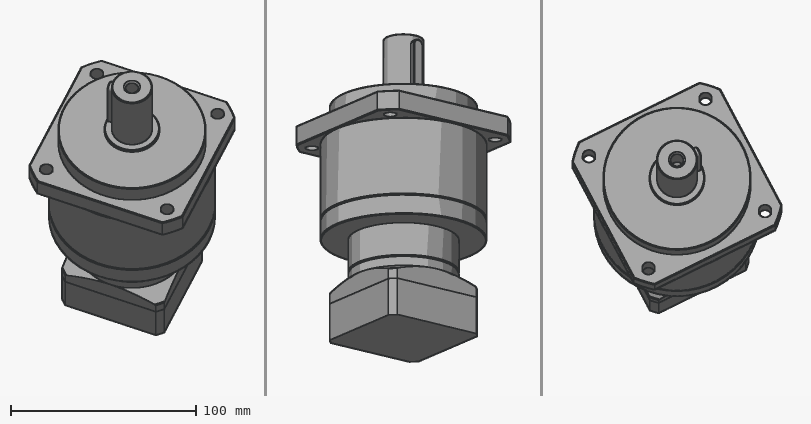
import cadquery as cq
import math


adapter_top = 20.8
cone_top = 31.5
collar_top = 37.0
hub_top = 55.8
rear_ring_top = 67.0
ring_gear_top = 110.9
flange_top = 122.0
pilot_top = 132.0
seal_top = 133.4
shaft_top = 170.1

edge_chamfer = 0.5

adapter_side = 60.0
adapter_corner_diameter = 80.1
hub_diameter = adapter_side
cone_drop = 4.6

flange_side = 90.0
housing_diameter = flange_side
flange_corner_diameter = 116.0
bolt_circle_diameter = 100.0
bolt_hole_diameter = 7.0
pilot_diameter = 80.0
seal_diameter = 30.0

shaft_diameter = 22.0
centre_hole_diameter = 6.8
centre_hole_depth = 17.0
centre_hole_mouth = 8.8
drill_point_angle = 118.0

key_width = 6.0
key_length = 32.0
key_top = shaft_top - 3.0
key_outer_x = -13.5


def disc(diameter, bottom, top):
    return cq.Workplane("XY").workplane(offset=bottom).circle(diameter / 2).extrude(top - bottom)


def rounded_square(side, corner_diameter, bottom, top):
    """Square plate whose corners are turned down to a circle about the axis."""
    plate = cq.Workplane("XY").workplane(offset=bottom).rect(side, side).extrude(top - bottom)
    return plate.intersect(disc(corner_diameter, bottom, top))


def make_adapter():
    return rounded_square(adapter_side, adapter_corner_diameter, 0, adapter_top)


def make_hub_base():
    """Square base under the hub, its top turned to a shallow cone with chamfered corners."""
    base = rounded_square(adapter_side, adapter_corner_diameter, adapter_top, cone_top)
    corner_radius = adapter_corner_diameter / 2
    cone_bottom = cone_top - cone_drop
    envelope = (
        cq.Workplane("XZ")
        .moveTo(0, adapter_top)
        .lineTo(corner_radius, adapter_top)
        .lineTo(corner_radius, cone_bottom - edge_chamfer)
        .lineTo(corner_radius - edge_chamfer, cone_bottom)
        .lineTo(hub_diameter / 2, cone_top)
        .lineTo(0, cone_top)
        .close()
        .revolve(360, (0, 0), (0, 1))
    )
    return base.intersect(envelope)


def make_flange():
    flange = rounded_square(flange_side, flange_corner_diameter, ring_gear_top, flange_top)
    flange = flange.faces("<Z or >Z").edges().chamfer(edge_chamfer)
    bolt_spacing = bolt_circle_diameter / math.sqrt(2)
    bolt_holes = (
        cq.Workplane("XY")
        .workplane(offset=ring_gear_top)
        .rect(bolt_spacing, bolt_spacing, forConstruction=True)
        .vertices()
        .circle(bolt_hole_diameter / 2)
        .extrude(flange_top - ring_gear_top)
    )
    return flange.cut(bolt_holes)


def make_centre_hole():
    """Drilled hole in the shaft end, with a countersunk mouth and a conical bottom."""
    hole_radius = centre_hole_diameter / 2
    mouth_radius = centre_hole_mouth / 2
    hole_bottom = shaft_top - centre_hole_depth
    point_length = hole_radius / math.tan(math.radians(drill_point_angle / 2))
    return (
        cq.Workplane("XZ")
        .moveTo(0, hole_bottom - point_length)
        .lineTo(hole_radius, hole_bottom)
        .lineTo(hole_radius, shaft_top - (mouth_radius - hole_radius))
        .lineTo(mouth_radius, shaft_top)
        .lineTo(0, shaft_top)
        .close()
        .revolve(360, (0, 0), (0, 1))
    )


def make_key_blank():
    """Round-ended key lying in the -X side of the shaft."""
    return (
        cq.Workplane("YZ")
        .workplane(offset=key_outer_x)
        .center(0, key_top - key_length / 2)
        .slot2D(key_length, key_width, 90)
        .extrude(key_width)
    )


def make_key():
    return make_key_blank().faces("<X").edges().chamfer(edge_chamfer)


def make_gear_unit():
    collar = disc(hub_diameter, cone_top, collar_top).faces(">Z").edges().chamfer(edge_chamfer)
    hub = disc(hub_diameter, collar_top, hub_top).faces("<Z").edges().chamfer(edge_chamfer)
    rear_ring = disc(housing_diameter, hub_top, rear_ring_top).edges().chamfer(edge_chamfer)
    ring_gear = disc(housing_diameter, rear_ring_top, ring_gear_top).edges().chamfer(edge_chamfer)
    pilot = disc(pilot_diameter, flange_top, pilot_top).faces(">Z").edges().chamfer(edge_chamfer)
    seal = disc(seal_diameter, pilot_top, seal_top).faces(">Z").edges().chamfer(edge_chamfer)
    shaft = disc(shaft_diameter, seal_top, shaft_top).faces(">Z").edges().chamfer(edge_chamfer)

    unit = make_hub_base()
    for section in (collar, hub, rear_ring, ring_gear, make_flange(), pilot, seal, shaft):
        unit = unit.union(section)
    return unit.cut(make_centre_hole()).cut(make_key_blank())


adapter = make_adapter()
gear_unit = make_gear_unit()
key = make_key()

result = cq.Compound.makeCompound([adapter.solids().val(), gear_unit.solids().val(), key.solids().val()])